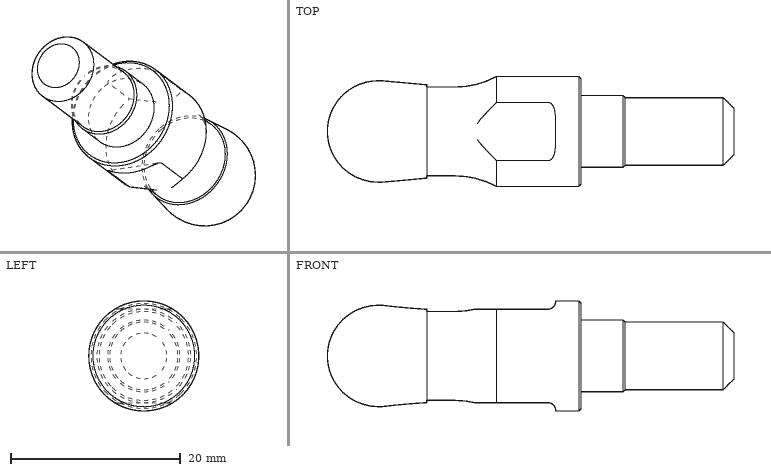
import cadquery as cq
import math

OVERALL_LENGTH = 47.9
CAP_BAND_END = 6.4
CAP_END = 11.75
NECK_END = 15.05
COLLAR_START = 19.95
COLLAR_END = 29.9
PILOT_END = 35.1

NOSE_RADIUS = 6.0
CAP_BACK_RADIUS = 5.5
NECK_RADIUS = 10.5 / 2
COLLAR_RADIUS = 13.0 / 2
PILOT_RADIUS = 8.5 / 2
SHANK_RADIUS = 8.0 / 2

COLLAR_CHAMFER = 0.3
SHANK_CHAMFER = 1.3

FLAT_HEIGHT = 5.5
FLAT_END = 26.9
FLAT_CORNER_RADIUS = 0.9

RING_RADII = [0.4, 0.95, 1.4, 1.8, 2.4, 2.85]


def nose_point(angle):
    """Point on the nose profile at an angle from the X axis."""
    return (NOSE_RADIUS * (1 - math.cos(angle)), NOSE_RADIUS * math.sin(angle))


def revolve_about_x(profile):
    """Close a half profile and turn it about the X axis, keeping every profile edge as a face border."""
    return profile.close().revolve(360, (0, 0, 0), (1, 0, 0), clean=False)


def make_cap():
    """Round-nosed cap: hemisphere, short cylindrical band and tapered back."""
    profile = cq.Workplane("XY").moveTo(0, 0)
    face_angles = [math.asin(radius / NOSE_RADIUS) for radius in RING_RADII]
    face_angles.append(math.pi / 2)
    start_angle = 0.0
    for end_angle in face_angles:
        middle_angle = (start_angle + end_angle) / 2
        profile = profile.threePointArc(nose_point(middle_angle), nose_point(end_angle))
        start_angle = end_angle
    profile = (
        profile
        .lineTo(CAP_BAND_END, NOSE_RADIUS)
        .lineTo(CAP_END, CAP_BACK_RADIUS)
        .lineTo(CAP_END, 0)
    )
    return revolve_about_x(profile)


def make_turned_body():
    """Neck, flared collar, pilot and shank, before the flats are cut."""
    pilot_step = PILOT_RADIUS - SHANK_RADIUS
    profile = (
        cq.Workplane("XY")
        .moveTo(CAP_END, 0)
        .lineTo(CAP_END, NECK_RADIUS)
        .lineTo(NECK_END, NECK_RADIUS)
        .tangentArcPoint((COLLAR_START, COLLAR_RADIUS), relative=False)
        .lineTo(COLLAR_END - COLLAR_CHAMFER, COLLAR_RADIUS)
        .lineTo(COLLAR_END, COLLAR_RADIUS - COLLAR_CHAMFER)
        .lineTo(COLLAR_END, PILOT_RADIUS)
        .lineTo(PILOT_END - pilot_step, PILOT_RADIUS)
        .lineTo(PILOT_END, SHANK_RADIUS)
        .lineTo(OVERALL_LENGTH - SHANK_CHAMFER, SHANK_RADIUS)
        .lineTo(OVERALL_LENGTH, SHANK_RADIUS - SHANK_CHAMFER)
        .lineTo(OVERALL_LENGTH, 0)
    )
    return revolve_about_x(profile)


def make_flat_cutter():
    """Block above the upper flat, its lower rear edge rounded."""
    length = FLAT_END - NECK_END
    height = COLLAR_RADIUS
    block = cq.Workplane("XY").box(
        length, 2 * COLLAR_RADIUS, height, centered=(False, True, False)
    )
    return (
        block
        .edges(">X and <Z")
        .fillet(FLAT_CORNER_RADIUS)
        .translate((NECK_END, 0, FLAT_HEIGHT))
    )


def make_stud():
    """Turned body with a pair of opposite wrench flats."""
    upper_cutter = make_flat_cutter()
    lower_cutter = upper_cutter.mirror("XY")
    return make_turned_body().cut(upper_cutter).cut(lower_cutter)


cap = make_cap()
stud = make_stud()

result = cq.Compound.makeCompound([cap.val(), stud.val()])